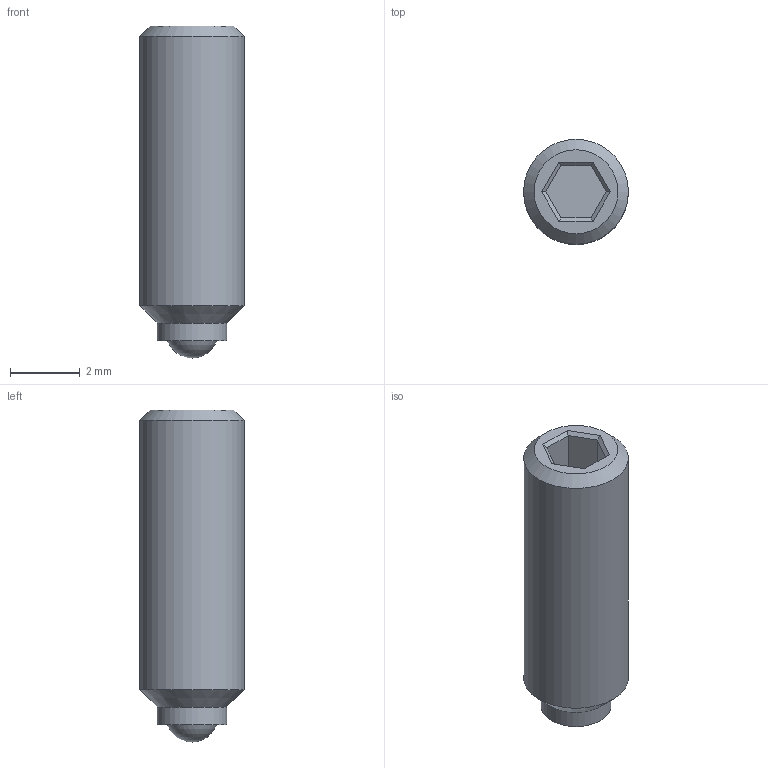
import cadquery as cq
import math

total_length = 9.5
body_diameter = 3.0
top_chamfer = 0.3
pin_diameter = 2.0
pin_length = 0.5
ball_radius = 0.75
ball_protrusion = 0.5
socket_across_flats = 1.5
socket_depth = 2.0
socket_chamfer = 0.1

body_radius = body_diameter / 2
pin_radius = pin_diameter / 2
cone_height = body_radius - pin_radius
pin_bottom = ball_protrusion
cone_bottom = pin_bottom + pin_length
body_bottom = cone_bottom + cone_height


def hexagon_corner_diameter(across_flats):
    """Distance across the corners of a regular hexagon."""
    return across_flats / math.cos(math.pi / 6)


def make_screw_body():
    """Revolved body: pin, cone, cylinder and top chamfer."""
    profile = (
        cq.Workplane("XZ")
        .moveTo(0, pin_bottom)
        .lineTo(pin_radius, pin_bottom)
        .lineTo(pin_radius, cone_bottom)
        .lineTo(body_radius, body_bottom)
        .lineTo(body_radius, total_length - top_chamfer)
        .lineTo(body_radius - top_chamfer, total_length)
        .lineTo(0, total_length)
        .close()
    )
    return profile.revolve(360, (0, 0, 0), (0, 1, 0))


def make_ball():
    """Ball partly sunk into the end of the pin."""
    return cq.Workplane("XY").sphere(ball_radius).translate((0, 0, ball_radius))


def make_socket():
    """Hexagon socket with two corners on the X axis and a chamfered mouth."""
    mouth_across_flats = socket_across_flats + 2 * socket_chamfer
    top_plane = cq.Workplane("XY").workplane(offset=total_length)
    hexagon_hole = top_plane.polygon(6, hexagon_corner_diameter(socket_across_flats)).extrude(-socket_depth)
    lead_in = (
        top_plane.polygon(6, hexagon_corner_diameter(mouth_across_flats))
        .workplane(offset=-socket_chamfer)
        .polygon(6, hexagon_corner_diameter(socket_across_flats))
        .loft(ruled=True)
    )
    return hexagon_hole.union(lead_in)


result = make_screw_body().union(make_ball()).cut(make_socket())